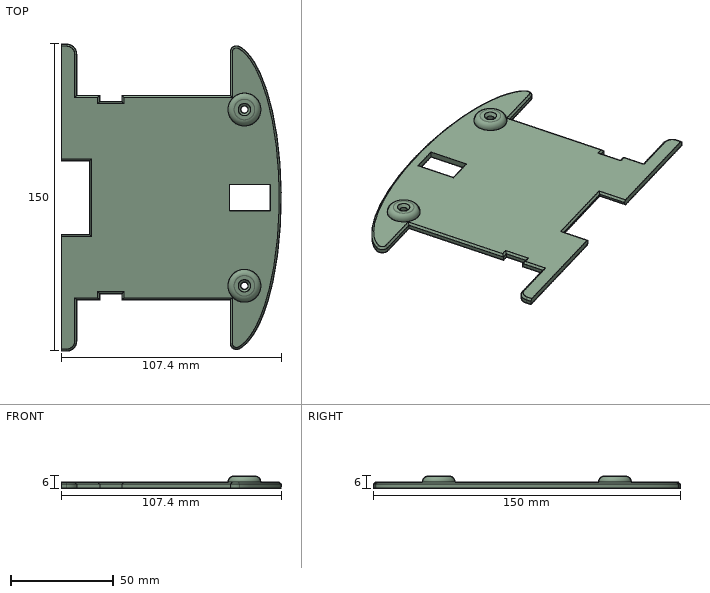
import cadquery as cq

plate_thickness = 3.0
half_width = 75.0
plate_length = 107.4
edge_chamfer = 1.0

arm_length = 7.5
arm_corner_radius = 5.0
body_half_width = 50.0

side_notch_start = 18.8
side_notch_length = 10.8
side_notch_depth = 3.0

bumper_start = 82.5
bumper_depth = plate_length - bumper_start
bumper_tip_radius = 3.0

rear_notch_depth = 13.8
rear_notch_width = 36.0

window_start = 82.2
window_length = 19.8
window_width = 12.8

boss_x = 89.4
boss_y = 43.0
boss_height = 3.0
boss_diameter = 16.0
hole_diameter = 3.5
countersink_diameter = 6.0
countersink_angle = 82.0

selection_margin = 0.2


def box_from(start_x, length, width, center_y=0):
    """Plate-thick block running from start_x toward +X."""
    return (
        cq.Workplane("XY")
        .box(length, width, plate_thickness, centered=(False, True, False))
        .translate((start_x, center_y, 0))
    )


def make_blank():
    """Union of the rear arms, the notched body and the half-ellipse bumper."""
    arms = (
        box_from(0, arm_length, 2 * half_width)
        .edges("|Z and >X")
        .fillet(arm_corner_radius)
    )
    body = box_from(0, bumper_start, 2 * body_half_width)
    bumper = (
        cq.Workplane("XY")
        .center(bumper_start, 0)
        .ellipseArc(bumper_depth, half_width, -90, 90, startAtCurrent=False)
        .close()
        .extrude(plate_thickness)
        .edges("|Z and <X")
        .fillet(bumper_tip_radius)
    )
    blank = arms.union(body).union(bumper)
    notch_center = body_half_width - side_notch_depth / 2
    for side in (1, -1):
        notch = box_from(side_notch_start, side_notch_length, side_notch_depth, side * notch_center)
        blank = blank.cut(notch)
    return blank


def chamfer_top_outline(blank):
    """Bevel the whole top outline except the straight rear edge."""
    return blank.faces(">Z").edges("not(<X)").chamfer(edge_chamfer)


def cut_rear_notch(plate):
    """Cut the rear notch and bevel its walls on both faces of the plate."""
    notch = box_from(0, rear_notch_depth, rear_notch_width)
    walls = cq.selectors.BoxSelector(
        (selection_margin, -rear_notch_width, -selection_margin),
        (rear_notch_depth + selection_margin, rear_notch_width, plate_thickness + selection_margin),
    )
    return plate.cut(notch).edges(walls).edges("not(|Z)").chamfer(edge_chamfer)


def add_boss(plate, y):
    """Add a quarter-round boss and drill its countersunk hole."""
    boss = (
        cq.Workplane("XY")
        .circle(boss_diameter / 2)
        .extrude(plate_thickness + boss_height)
        .faces(">Z")
        .edges()
        .fillet(boss_height)
        .translate((boss_x, y, 0))
    )
    return (
        plate.union(boss)
        .faces(">Z")
        .workplane(origin=(boss_x, y, 0))
        .cskHole(hole_diameter, countersink_diameter, countersink_angle)
    )


plate = chamfer_top_outline(make_blank())
plate = cut_rear_notch(plate)
plate = plate.cut(box_from(window_start, window_length, window_width))
for side in (1, -1):
    plate = add_boss(plate, side * boss_y)
result = plate